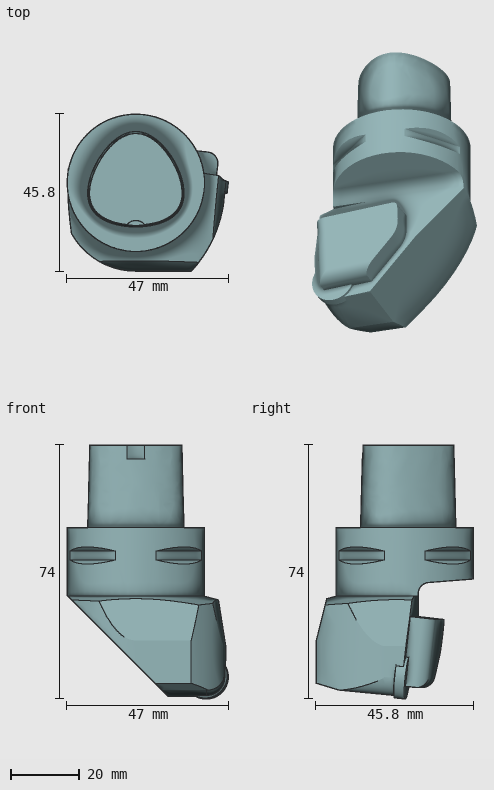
import cadquery as cq
import math

COLLAR_DIAMETER = 40.0
COLLAR_RADIUS = COLLAR_DIAMETER / 2
COLLAR_HEIGHT = 20
SHANK_HEIGHT = 24.0
SHANK_MEAN_RADIUS = 13.9
SHANK_LOBE = 1.0
SHANK_TAPER = 1 / 40

KEY_RADIUS = 3.25
KEY_CENTER_Y = -14.2
KEY_DEPTH = 4.1

GROOVE_COUNT = 4
GROOVE_CENTER_Z = -8.15
GROOVE_FLOOR_RADIUS = 17.7
GROOVE_FLOOR_HEIGHT = 2.5
GROOVE_FLANK_ANGLE = 28

HEAD_FRONT_Y = -25.75
HEAD_ARC_RADIUS = 21.5
HEAD_SIDE_X = 26.2
HEAD_SIDE_SLOPE = 0.1
SIDE_END_Y = -5.9
SIDE_BULGE = (22.4, -16.5)
FRONT_CORNER_X = 16.1
HEAD_BACK_Y = 4.0

HEAD_BOTTOM_Z = -49.2
TOP_CONE_SLOPE = 0.27
FRONT_TAPER_Z = -32.9
FRONT_TAPER_SLOPE = 0.25
SIDE_TAPER_Z = -34.6
SIDE_TAPER_SLOPE = 0.17
UNDERCUT_OFFSET = 39.8

RELIEF_BREAK = (-19.15, -47.35)
RELIEF_FRONT_Z = -45.35

LEDGE_RIM_Z = -15.0
LEDGE_INNER_Z = -16.3
LEDGE_FILLET = 3.2

RAKE_Y = 7.3
RAKE_X_SLOPE = -0.116
RAKE_Z_SLOPE = 0.114

INSERT_RADIUS = 6.4
INSERT_THICKNESS = 3.1
INSERT_X = 20.6
INSERT_Z = -43.6
INSERT_RISE = 0.9

CLAMP_LEFT_X = -2.95
CLAMP_RIGHT_X = 23.1
CLAMP_TOP_Z = -25.7
CLAMP_BOTTOM_Z = -46.0
CLAMP_BEVEL_OFFSET = 37.5
CLAMP_HEIGHT = 7.0
CLAMP_EMBED = 1.5
CLAMP_SIDE_FILLET = 7.85
CLAMP_TOP_FILLET = 1.5
CLAMP_EDGE_FILLET = 3.3

BIG = 74


def prism_along_x(points):
    """Prism with a Y-Z outline, running across the whole part."""
    return cq.Workplane("YZ").polyline(points).close().extrude(BIG, both=True)


def prism_along_y(points):
    """Prism with an X-Z outline, running across the whole part."""
    return cq.Workplane("XZ").polyline(points).close().extrude(BIG, both=True)


def rake_plane(x, z, rise=0.0):
    """Workplane on the rake face above (x, z), lifted along Y by rise."""
    y = RAKE_Y + RAKE_X_SLOPE * x + RAKE_Z_SLOPE * z + rise
    return cq.Plane(
        origin=(x, y, z),
        xDir=(1, RAKE_X_SLOPE, 0),
        normal=(-RAKE_X_SLOPE, 1, -RAKE_Z_SLOPE),
    )


def shank_section(z):
    """Three-lobed section with one lobe pointing to +Y."""
    radius = SHANK_MEAN_RADIUS - SHANK_TAPER * z

    def point(t):
        angle = 2 * math.pi * t
        return (
            radius * math.sin(angle) - SHANK_LOBE * math.sin(2 * angle),
            radius * math.cos(angle) + SHANK_LOBE * math.cos(2 * angle),
        )

    section = cq.Workplane("XY").workplane(offset=z).parametricCurve(point, N=60)
    return section.val()


def make_shank():
    sections = [shank_section(0), shank_section(SHANK_HEIGHT)]
    shank = cq.Workplane(cq.Solid.makeLoft(sections, True))
    keyway = (
        cq.Workplane("XY").workplane(offset=SHANK_HEIGHT - KEY_DEPTH)
        .center(0, KEY_CENTER_Y).circle(KEY_RADIUS).extrude(KEY_DEPTH)
    )
    return shank.cut(keyway)


def make_collar():
    collar = cq.Workplane("XY").circle(COLLAR_RADIUS).extrude(-COLLAR_HEIGHT)
    flare = (COLLAR_RADIUS - GROOVE_FLOOR_RADIUS) * math.tan(math.radians(GROOVE_FLANK_ANGLE))
    inner = GROOVE_FLOOR_HEIGHT / 2
    outer = inner + flare
    groove = (
        cq.Workplane("XZ")
        .polyline([
            (GROOVE_FLOOR_RADIUS, GROOVE_CENTER_Z - inner),
            (COLLAR_RADIUS, GROOVE_CENTER_Z - outer),
            (COLLAR_RADIUS, GROOVE_CENTER_Z + outer),
            (GROOVE_FLOOR_RADIUS, GROOVE_CENTER_Z + inner),
        ])
        .close().extrude(COLLAR_RADIUS, both=True)
    )
    pitch = 360 / GROOVE_COUNT
    for i in range(GROOVE_COUNT):
        collar = collar.cut(groove.rotate((0, 0, 0), (0, 0, 1), pitch * (i + 0.5)))
    return collar


def make_head_blank():
    arc_center_y = HEAD_FRONT_Y + HEAD_ARC_RADIUS
    arc_offset = HEAD_ARC_RADIUS * math.sqrt(0.5)
    outline = (
        cq.Workplane("XY").workplane(offset=-COLLAR_HEIGHT)
        .moveTo(-HEAD_ARC_RADIUS, HEAD_BACK_Y)
        .lineTo(-HEAD_ARC_RADIUS, arc_center_y)
        .threePointArc((-arc_offset, arc_center_y - arc_offset), (0, HEAD_FRONT_Y))
        .lineTo(FRONT_CORNER_X, HEAD_FRONT_Y)
        .threePointArc(SIDE_BULGE, (HEAD_SIDE_X + HEAD_SIDE_SLOPE * SIDE_END_Y, SIDE_END_Y))
        .lineTo(HEAD_SIDE_X + HEAD_SIDE_SLOPE * HEAD_BACK_Y, HEAD_BACK_Y)
        .close()
    )
    blank = outline.extrude(HEAD_BOTTOM_Z + COLLAR_HEIGHT)
    cone_drop = TOP_CONE_SLOPE * (BIG - COLLAR_RADIUS)
    above_cone = (
        cq.Workplane("XZ")
        .polyline([
            (COLLAR_RADIUS, -COLLAR_HEIGHT),
            (BIG, -COLLAR_HEIGHT - cone_drop),
            (BIG, -COLLAR_HEIGHT),
        ])
        .close().revolve(360, (0, 0, 0), (0, 1, 0))
    )
    return blank.cut(above_cone)


def cut_head_tapers(head):
    front_run = FRONT_TAPER_SLOPE * -FRONT_TAPER_Z
    front = prism_along_x([
        (HEAD_FRONT_Y, FRONT_TAPER_Z),
        (HEAD_FRONT_Y + front_run, 0),
        (HEAD_FRONT_Y, 0),
    ])
    side_run = SIDE_TAPER_SLOPE * -SIDE_TAPER_Z
    side = prism_along_y([
        (HEAD_SIDE_X, SIDE_TAPER_Z),
        (BIG, SIDE_TAPER_Z),
        (BIG, 0),
        (HEAD_SIDE_X - side_run, 0),
    ])
    side_angle = -math.degrees(math.atan(HEAD_SIDE_SLOPE))
    side = side.rotate((HEAD_SIDE_X, 0, 0), (HEAD_SIDE_X, 0, 1), side_angle)
    return head.cut(front).cut(side)


def cut_bottom_relief(head):
    relief = prism_along_x([
        (0, HEAD_BOTTOM_Z),
        RELIEF_BREAK,
        (HEAD_FRONT_Y, RELIEF_FRONT_Z),
        (HEAD_FRONT_Y, HEAD_BOTTOM_Z),
    ])
    return head.cut(relief)


def round_nose_corner(head):
    """Round the lower side corner as a cone narrowing towards -Y."""
    back_radius = HEAD_SIDE_X - INSERT_X + HEAD_SIDE_SLOPE * HEAD_BACK_Y
    length = HEAD_BACK_Y - HEAD_FRONT_Y
    cone = cq.Workplane(cq.Solid.makeCone(
        back_radius,
        back_radius - HEAD_SIDE_SLOPE * length,
        length,
        cq.Vector(INSERT_X, HEAD_BACK_Y, INSERT_Z),
        cq.Vector(0, -1, 0),
    ))
    corner = (
        cq.Workplane("XY").box(BIG, length, BIG, centered=False)
        .translate((INSERT_X, HEAD_FRONT_Y, INSERT_Z - BIG))
    )
    return head.cut(corner.cut(cone))


def make_clamp():
    top = CLAMP_TOP_Z - INSERT_Z
    bottom = CLAMP_BOTTOM_Z - INSERT_Z
    left = CLAMP_LEFT_X - INSERT_X
    right = CLAMP_RIGHT_X - INSERT_X
    bevel = -CLAMP_BEVEL_OFFSET - INSERT_X - INSERT_Z
    outline = [
        (left, -top),
        (right, -top),
        (right, -bottom),
        (bevel - bottom, -bottom),
        (left, left - bevel),
    ]
    clamp = (
        cq.Workplane(rake_plane(INSERT_X, INSERT_Z, -CLAMP_EMBED))
        .polyline(outline).close().extrude(CLAMP_HEIGHT + CLAMP_EMBED)
    )
    bevel_corner = rake_plane(CLAMP_LEFT_X, -CLAMP_BEVEL_OFFSET - CLAMP_LEFT_X).origin
    clamp = clamp.edges(cq.NearestToPointSelector(bevel_corner.toTuple())).fillet(CLAMP_SIDE_FILLET)
    top_corner = rake_plane(CLAMP_LEFT_X, CLAMP_TOP_Z).origin
    clamp = clamp.edges(cq.NearestToPointSelector(top_corner.toTuple())).fillet(CLAMP_TOP_FILLET)
    outer_face = clamp.faces(">Y")
    return outer_face.edges(">X or <Z").fillet(CLAMP_EDGE_FILLET)


def make_insert():
    seat = rake_plane(INSERT_X, INSERT_Z, INSERT_RISE)
    return cq.Workplane(seat).circle(INSERT_RADIUS).extrude(-INSERT_THICKNESS)


def cut_ledge_and_undercut(body):
    """Cut away the back half under the collar and the 45 degree underside."""
    rim_slope = (LEDGE_RIM_Z - LEDGE_INNER_Z) / (COLLAR_RADIUS - HEAD_BACK_Y)
    ledge = prism_along_x([
        (HEAD_BACK_Y, LEDGE_INNER_Z),
        (BIG, LEDGE_INNER_Z + rim_slope * (BIG - HEAD_BACK_Y)),
        (BIG, -BIG),
        (HEAD_BACK_Y, -BIG),
    ])
    inner_corner = cq.NearestToPointSelector((0, HEAD_BACK_Y, LEDGE_INNER_Z))
    ledge = ledge.edges(inner_corner).fillet(LEDGE_FILLET)
    undercut = prism_along_y([
        (-BIG, BIG - UNDERCUT_OFFSET),
        (-BIG, -BIG),
        (BIG - UNDERCUT_OFFSET, -BIG),
    ])
    return body.cut(ledge).cut(undercut)


def cut_rake_face(body):
    """Plane the head down to the rake face, leaving the collar untouched."""
    above_rake = cq.Workplane(rake_plane(INSERT_X, INSERT_Z)).rect(2 * BIG, 2 * BIG).extrude(BIG)
    below_collar = (
        cq.Workplane("XY").workplane(offset=-COLLAR_HEIGHT)
        .rect(2 * BIG, 2 * BIG).extrude(-BIG)
    )
    return body.cut(above_rake.intersect(below_collar))


def make_holder(insert):
    head = make_head_blank()
    head = cut_head_tapers(head)
    head = cut_bottom_relief(head)
    head = round_nose_corner(head)
    body = make_shank().union(make_collar()).union(head)
    body = cut_ledge_and_undercut(body)
    body = cut_rake_face(body)
    return body.union(make_clamp()).cut(insert)


insert = make_insert()
holder = make_holder(insert)
result = cq.Compound.makeCompound([holder.solids().val(), insert.val()])